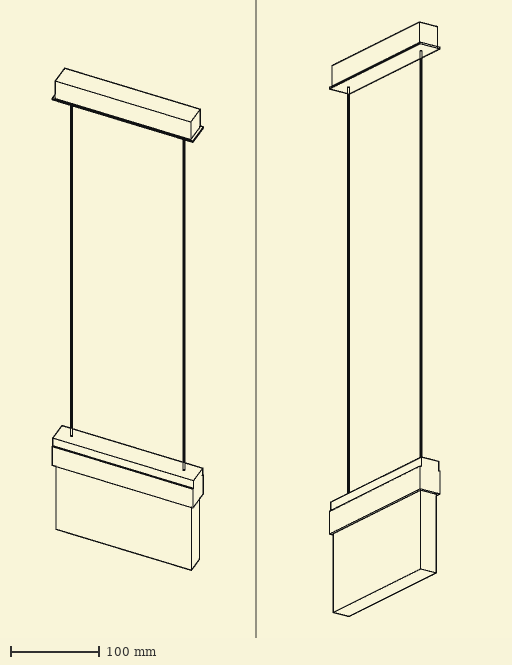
import cadquery as cq

total_height = 662.0
outer_length = 176.0
outer_width = 28.0

body_length = 169.5
canopy_width = 25.0
canopy_height = 28.0
flange_thickness = 2.0

panel_width = 22.0
panel_height = 95.0
head_lower_height = 28.0
head_upper_height = 11.0
head_upper_width = 24.5

wire_diameter = 2.0
wire_spacing = 140.5

step_level = panel_height + head_lower_height
head_top = step_level + head_upper_height
flange_bottom = total_height - canopy_height
flange_top = flange_bottom + flange_thickness


def block(length, width, bottom, top):
    """Box centred on the Z axis, between two levels."""
    return (
        cq.Workplane("XY")
        .workplane(offset=bottom)
        .rect(length, width)
        .extrude(top - bottom)
    )


lamp = (
    block(body_length, panel_width, 0, panel_height)
    .union(block(outer_length, outer_width, panel_height, step_level))
    .union(block(outer_length, head_upper_width, step_level, head_top))
)

canopy = block(outer_length, outer_width, flange_bottom, flange_top).union(
    block(body_length, canopy_width, flange_top, total_height)
)

wires = (
    cq.Workplane("XY")
    .workplane(offset=head_top)
    .pushPoints([(-wire_spacing / 2, 0), (wire_spacing / 2, 0)])
    .circle(wire_diameter / 2)
    .extrude(flange_bottom - head_top)
)

result = lamp.union(wires).union(canopy)